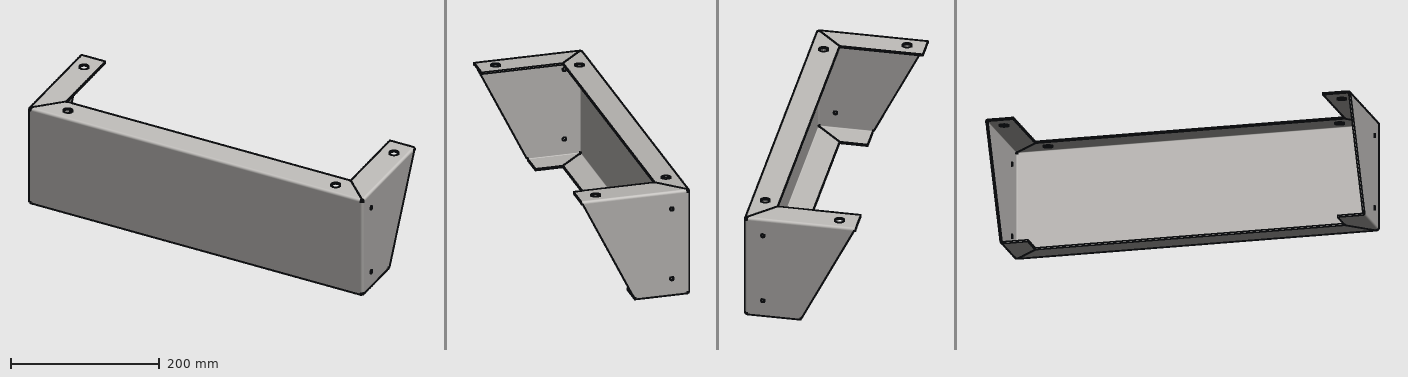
import cadquery as cq
import math

LENGTH = 508.0
DEPTH = 152.5
HEIGHT = 152.5
BOTTOM_DEPTH = 76.5

SHEET = 2.5
BEND_RADIUS = 3.5
FLANGE_WIDTH = 38.0
MITRE_GAP = 0.5

MOUNT_DIAMETER = 12.5
SIDE_MOUNT_INSET = 19.0
SIDE_MOUNT_Y = 127.0
FRONT_MOUNT_INSET = 51.0
FRONT_MOUNT_Y = 19.0

SIDE_HOLE_DIAMETER = 5.0
SIDE_HOLE_Y = 25.5
SIDE_HOLE_Z_INSET = 25.5


def side_profile():
    """Full-length solid of the side outline: sloping rear edge, with square flange ends."""
    slope_run = (DEPTH - BOTTOM_DEPTH) * BEND_RADIUS / HEIGHT
    return (
        cq.Workplane("YZ")
        .moveTo(0, 0)
        .lineTo(BOTTOM_DEPTH, 0)
        .lineTo(BOTTOM_DEPTH, BEND_RADIUS)
        .lineTo(BOTTOM_DEPTH + slope_run, BEND_RADIUS)
        .lineTo(DEPTH - slope_run, HEIGHT - BEND_RADIUS)
        .lineTo(DEPTH, HEIGHT - BEND_RADIUS)
        .lineTo(DEPTH, HEIGHT)
        .lineTo(0, HEIGHT)
        .close()
        .extrude(LENGTH)
    )


def rounded_block(inset, radius):
    """Block inset from the outer faces, open past the rear, with its folds rounded."""
    block = cq.Workplane("XY").box(
        LENGTH - 2 * inset, 2 * DEPTH, HEIGHT - 2 * inset, centered=False
    )
    block = block.edges("|Y or <Y").fillet(radius)
    return block.translate((inset, inset, inset))


def folded_shell():
    """Front wall, side walls and full top and bottom sheets, trimmed to the side outline."""
    shell = rounded_block(0, BEND_RADIUS).cut(rounded_block(SHEET, BEND_RADIUS - SHEET))
    return shell.intersect(side_profile())


def flange_opening():
    """Space between the flanges, cleared through the top and bottom sheets."""
    return cq.Workplane("XY").box(
        LENGTH - 2 * FLANGE_WIDTH, DEPTH, HEIGHT, centered=False
    ).translate((FLANGE_WIDTH, FLANGE_WIDTH, 0))


def mitre_slots():
    """Diagonal gaps between the front and side flanges, from the bend lines inwards."""
    edge_shift = MITRE_GAP / math.sqrt(2)
    slot = (
        cq.Workplane("XY")
        .moveTo(BEND_RADIUS, BEND_RADIUS)
        .lineTo(BEND_RADIUS + edge_shift, BEND_RADIUS)
        .lineTo(FLANGE_WIDTH + edge_shift, FLANGE_WIDTH)
        .lineTo(FLANGE_WIDTH, FLANGE_WIDTH + edge_shift)
        .lineTo(BEND_RADIUS, BEND_RADIUS + edge_shift)
        .close()
        .extrude(HEIGHT)
    )
    return slot.union(slot.mirror("YZ").translate((LENGTH, 0, 0)))


def corner_reliefs():
    """Square notches where three bends would meet, at the ends of both vertical bends."""
    far_x = LENGTH - BEND_RADIUS
    top_z = HEIGHT - BEND_RADIUS
    notch = cq.Workplane("XY").box(BEND_RADIUS, BEND_RADIUS, BEND_RADIUS, centered=False)
    reliefs = cq.Workplane("XY")
    for x in (0, far_x):
        for z in (0, top_z):
            reliefs = reliefs.add(notch.translate((x, 0, z)))
    return reliefs.combine()


def mount_holes():
    """Vertical drills through the top flanges only."""
    points = [
        (SIDE_MOUNT_INSET, SIDE_MOUNT_Y),
        (LENGTH - SIDE_MOUNT_INSET, SIDE_MOUNT_Y),
        (FRONT_MOUNT_INSET, FRONT_MOUNT_Y),
        (LENGTH - FRONT_MOUNT_INSET, FRONT_MOUNT_Y),
    ]
    return (
        cq.Workplane("XY", origin=(0, 0, HEIGHT - SHEET))
        .pushPoints(points)
        .circle(MOUNT_DIAMETER / 2)
        .extrude(SHEET)
    )


def side_holes():
    """Drills along X through both side walls."""
    return (
        cq.Workplane("YZ")
        .pushPoints([(SIDE_HOLE_Y, SIDE_HOLE_Z_INSET), (SIDE_HOLE_Y, HEIGHT - SIDE_HOLE_Z_INSET)])
        .circle(SIDE_HOLE_DIAMETER / 2)
        .extrude(LENGTH)
    )


result = folded_shell()
for cutter in (flange_opening(), mitre_slots(), corner_reliefs(), mount_holes(), side_holes()):
    result = result.cut(cutter)